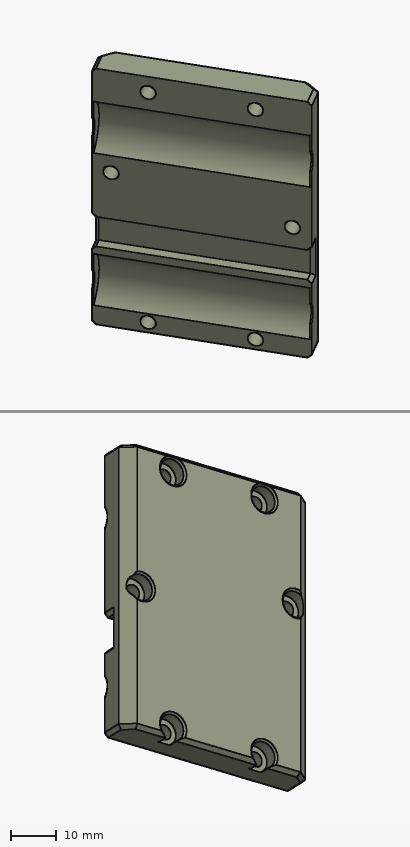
import cadquery as cq
import math

width = 50.0
thickness = 8.0
height = 69.0
front_y = -thickness / 2
back_y = thickness / 2

bevel_width = 3.1
bevel_depth = 2.55
edge_chamfer = 1.0

cradle_heights = (18.55, -22.5)
cradle_chord = 13.9
cradle_axis_offset = 3.0
cradle_radius = math.hypot(cradle_chord / 2, cradle_axis_offset)
end_opening_radius = 4.0
end_wall = 0.4

slot_center_z = -9.45
slot_width = 8.0
slot_depth = 2.5

hole_diameter = 3.5
counterbore_diameter = 6.2
counterbore_depth = 3.45
mouth_chamfer = 0.5
outer_hole_x = 12.2
upper_hole_z = 30.2
lower_hole_z = -31.75
middle_hole_x = 20.6
left_hole_z = 7.05
right_hole_z = 0.0


def make_plate():
    """Plate with long back bevels and chamfered ends."""
    half = width / 2
    profile = [
        (-half, front_y),
        (half, front_y),
        (half, back_y - bevel_depth),
        (half - bevel_width, back_y),
        (bevel_width - half, back_y),
        (-half, back_y - bevel_depth),
    ]
    plate = cq.Workplane("XY").polyline(profile).close().extrude(height)
    plate = plate.translate((0, 0, -height / 2))
    front_edges = cq.selectors.BoxSelector(
        (-width, front_y - edge_chamfer, -height),
        (width, front_y + edge_chamfer, height),
    )
    end_edges = cq.selectors.StringSyntaxSelector("#Z") - front_edges
    return plate.edges(end_edges).chamfer(edge_chamfer)


def rod_along_x(radius, length, z):
    """Cylinder on a cradle axis, centered in X."""
    return (
        cq.Workplane("YZ")
        .center(front_y - cradle_axis_offset, z)
        .circle(radius)
        .extrude(length / 2, both=True)
    )


def cut_cradle(body, z):
    body = body.cut(rod_along_x(cradle_radius, width - 2 * end_wall, z))
    return body.cut(rod_along_x(end_opening_radius, 2 * width, z))


def cut_slot(body):
    """Slot open to the front, widening by the edge chamfer at both ends."""
    slot = cq.Workplane("XY").box(width, 2 * slot_depth, slot_width)
    body = body.cut(slot.translate((0, front_y, slot_center_z)))
    for side in (-1, 1):
        flare = (
            cq.Workplane("YZ", origin=(side * (width / 2 - edge_chamfer), front_y, slot_center_z))
            .rect(2 * slot_depth, slot_width)
            .workplane(offset=side * edge_chamfer)
            .rect(2 * (slot_depth + edge_chamfer), slot_width + 2 * edge_chamfer)
            .loft(ruled=True)
        )
        body = body.cut(flare)
    return body


def cut_screw_holes(body):
    """Through holes with chamfered counterbores sunk from the back face."""
    bore_radius = counterbore_diameter / 2
    mouth_radius = bore_radius + mouth_chamfer
    positions = [(-middle_hole_x, left_hole_z), (middle_hole_x, right_hole_z)]
    for z in (upper_hole_z, lower_hole_z):
        positions += [(-outer_hole_x, z), (outer_hole_x, z)]
    for x, z in positions:
        back = cq.Workplane("XZ", origin=(x, back_y, z))
        body = body.cut(back.circle(hole_diameter / 2).extrude(thickness))
        body = body.cut(back.circle(bore_radius).extrude(counterbore_depth))
        mouth = cq.Solid.makeCone(
            mouth_radius, bore_radius, mouth_chamfer, cq.Vector(x, back_y, z), cq.Vector(0, -1, 0)
        )
        body = body.cut(cq.Workplane(mouth))
    return body


result = make_plate()
for cradle_z in cradle_heights:
    result = cut_cradle(result, cradle_z)
result = cut_slot(result)
result = cut_screw_holes(result)